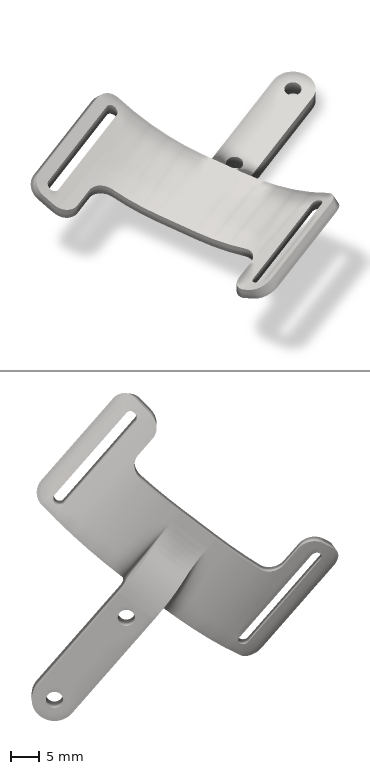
import cadquery as cq
import math

plate_thickness = 2.0
plate_width = 50.0
plate_length = 26.05
plate_bottom = 5.0
plate_top = plate_bottom + plate_thickness
outer_bend_radius = 35.0
inner_bend_radius = outer_bend_radius - plate_thickness
corner_radius = 3.0

notch_half_width = 16.5
notch_shift = 0.5
notch_depth = 10.05

slot_width = 2.0
slot_length = 22.05
slot_offset = 20.95

strap_width = 8.0
strap_thickness = 3.0
strap_end = 54
hole_diameter = 3.0
hole_spacing = 20
inside_fillet_radius = 1.0
lower_sweep_radius = 14.0
upper_sweep_radius = 10.0

flat_half = strap_width / 2
bend_angle = math.asin((plate_width / 2 - flat_half) / outer_bend_radius)
cut_height = 32.4


def bend_point(radius, angle, side):
    """XZ point at an angle along the plate bend on the given side."""
    bend_center_z = plate_bottom + outer_bend_radius
    x = side * (flat_half + radius * math.sin(angle))
    return x, bend_center_z - radius * math.cos(angle)


def curved_plate():
    """Flat middle with a tangent arc on either side, ends cut square to the bend."""
    def bent(radius, fraction, side):
        return bend_point(radius, fraction * bend_angle, side)

    plate = (
        cq.Workplane("XZ")
        .moveTo(-flat_half, plate_bottom)
        .lineTo(flat_half, plate_bottom)
        .threePointArc(bent(outer_bend_radius, 0.5, 1), bent(outer_bend_radius, 1, 1))
        .lineTo(*bent(inner_bend_radius, 1, 1))
        .threePointArc(bent(inner_bend_radius, 0.5, 1), (flat_half, plate_top))
        .lineTo(-flat_half, plate_top)
        .threePointArc(bent(inner_bend_radius, 0.5, -1), bent(inner_bend_radius, 1, -1))
        .lineTo(*bent(outer_bend_radius, 1, -1))
        .threePointArc(bent(outer_bend_radius, 0.5, -1), (-flat_half, plate_bottom))
        .close()
        .extrude(-plate_length)
    )
    for side in (-1, 1):
        end_direction = (-side * math.sin(bend_angle), 0, math.cos(bend_angle))
        end_edges = cq.selectors.ParallelDirSelector(cq.Vector(*end_direction))
        plate = plate.edges(end_edges).fillet(corner_radius)
    return plate


def leg_notch():
    """Vertical cut whose inner corners are concave and whose leg tips are rounded."""
    r = corner_radius
    diagonal = r * (1 - math.sqrt(0.5))
    edge = notch_half_width
    return (
        cq.Workplane("XY")
        .moveTo(-edge - r, 0)
        .threePointArc((-edge - diagonal, diagonal), (-edge, r))
        .lineTo(-edge, notch_depth - r)
        .threePointArc((-edge + diagonal, notch_depth - diagonal), (-edge + r, notch_depth))
        .lineTo(edge - r, notch_depth)
        .threePointArc((edge - diagonal, notch_depth - diagonal), (edge, notch_depth - r))
        .lineTo(edge, r)
        .threePointArc((edge + diagonal, diagonal), (edge + r, 0))
        .close()
        .extrude(cut_height)
        .translate((notch_shift, 0, 0))
    )


def webbing_slots():
    return (
        cq.Workplane("XY")
        .pushPoints([(-slot_offset, plate_length / 2), (slot_offset, plate_length / 2)])
        .slot2D(slot_length, slot_width, 90)
        .extrude(cut_height)
    )


def mounting_strap():
    """Strap with an S-shaped underside rising to the bottom of the plate."""
    sweep_angle = math.acos(1 - plate_bottom / (lower_sweep_radius + upper_sweep_radius))
    sweep_start = plate_length + inside_fillet_radius
    sweep_end = sweep_start - (lower_sweep_radius + upper_sweep_radius) * math.sin(sweep_angle)

    def lower_sweep(angle):
        rise = lower_sweep_radius * (1 - math.cos(angle))
        return sweep_start - lower_sweep_radius * math.sin(angle), rise

    def upper_sweep(angle):
        rise_left = upper_sweep_radius * (1 - math.cos(angle))
        return sweep_end + upper_sweep_radius * math.sin(angle), plate_bottom - rise_left

    fillet_diagonal = inside_fillet_radius * (1 - math.sqrt(0.5))
    strap = (
        cq.Workplane("YZ")
        .moveTo(strap_end, 0)
        .lineTo(sweep_start, 0)
        .threePointArc(lower_sweep(sweep_angle / 2), lower_sweep(sweep_angle))
        .threePointArc(upper_sweep(sweep_angle / 2), (sweep_end, plate_bottom))
        .lineTo(notch_depth, plate_bottom)
        .lineTo(notch_depth, plate_top)
        .lineTo(plate_length, plate_top)
        .lineTo(plate_length, strap_thickness + inside_fillet_radius)
        .threePointArc(
            (plate_length + fillet_diagonal, strap_thickness + fillet_diagonal),
            (sweep_start, strap_thickness),
        )
        .lineTo(strap_end, strap_thickness)
        .close()
        .extrude(flat_half, both=True)
    )
    end_radius = flat_half
    end_center = strap_end - end_radius
    strap_outline = (
        cq.Workplane("XY")
        .moveTo(-end_radius, 0)
        .lineTo(end_radius, 0)
        .lineTo(end_radius, end_center)
        .threePointArc((0, strap_end), (-end_radius, end_center))
        .close()
        .extrude(cut_height)
    )
    holes = (
        cq.Workplane("XY")
        .pushPoints([(0, end_center), (0, end_center - hole_spacing)])
        .circle(hole_diameter / 2)
        .extrude(strap_thickness)
    )
    return strap.intersect(strap_outline).cut(holes)


plate = curved_plate().cut(leg_notch()).cut(webbing_slots())
result = plate.union(mounting_strap())